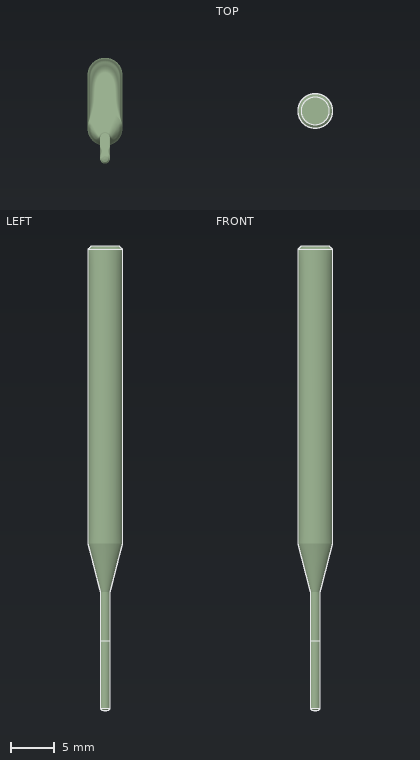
import cadquery as cq

total_length = 53.0
shank_diameter = 4.0
shank_chamfer = 0.4
taper_top = 19.1
taper_bottom = 13.5
cutter_diameter = 1.1
neck_diameter = cutter_diameter
cutter_length = 8.0
tip_chamfer = 0.2
tip_point_height = 0.05

shank_radius = shank_diameter / 2
neck_radius = neck_diameter / 2
cutter_radius = cutter_diameter / 2


def make_shank():
    """Chamfered shank, conical taper and slim neck, turned as one body."""
    return (
        cq.Workplane("XZ")
        .moveTo(0, cutter_length)
        .lineTo(neck_radius, cutter_length)
        .lineTo(neck_radius, taper_bottom)
        .lineTo(shank_radius, taper_top)
        .lineTo(shank_radius, total_length - shank_chamfer)
        .lineTo(shank_radius - shank_chamfer, total_length)
        .lineTo(0, total_length)
        .close()
        .revolve(360, (0, 0, 0), (0, 1, 0))
    )


def make_cutter():
    """Cylindrical cutting end with a chamfered rim and a very shallow point."""
    rim_bottom = tip_point_height
    return (
        cq.Workplane("XZ")
        .lineTo(cutter_radius - tip_chamfer, rim_bottom)
        .lineTo(cutter_radius, rim_bottom + tip_chamfer)
        .lineTo(cutter_radius, cutter_length)
        .lineTo(0, cutter_length)
        .close()
        .revolve(360, (0, 0, 0), (0, 1, 0))
    )


shank = make_shank()
cutter = make_cutter()
result = cq.Compound.makeCompound([shank.val(), cutter.val()])